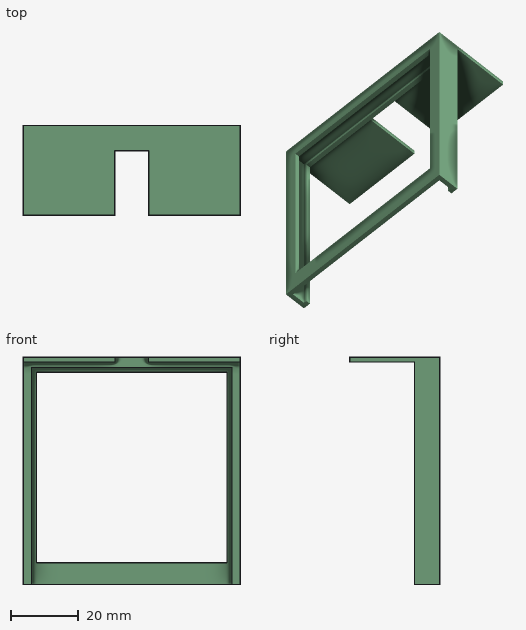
import cadquery as cq

width = 64.0
depth = 26.5
height = 67.0

frame_depth = 7.5
panel_thickness = 1.5
side_wall = 2.5
recess_top_wall = 3.0
window_lip = 1.5
sill_height = 6.5
front_rim_thickness = 1.5
groove_depth = 1.0

plate_thickness = 1.5
notch_width = 10.0

recess_width = width - 2 * side_wall
recess_height = height - recess_top_wall
groove_width = recess_width + 2 * groove_depth
groove_height = recess_height + groove_depth
window_width = recess_width - 2 * window_lip
window_height = recess_height - window_lip - sill_height


def block(size_x, y_front, y_back, z_bottom, size_z):
    """Box centred on X, spanning y_front to y_back and rising from z_bottom."""
    size_y = y_back - y_front
    box = cq.Workplane("XY").box(size_x, size_y, size_z, centered=(True, False, False))
    return box.translate((0, y_front, z_bottom))


frame = block(width, -frame_depth, 0, 0, height)
recess = block(recess_width, -frame_depth, -panel_thickness, 0, recess_height)
window = block(window_width, -panel_thickness, 0, sill_height, window_height)

groove_front = front_rim_thickness - frame_depth
groove = block(groove_width, groove_front, -panel_thickness, 0, groove_height)
frame = frame.cut(recess).cut(groove).cut(window)

plate = block(width, -depth, 0, height - plate_thickness, plate_thickness)
notch = block(notch_width, -depth, -frame_depth, height - plate_thickness, plate_thickness)
plate = plate.cut(notch)

result = frame.union(plate)